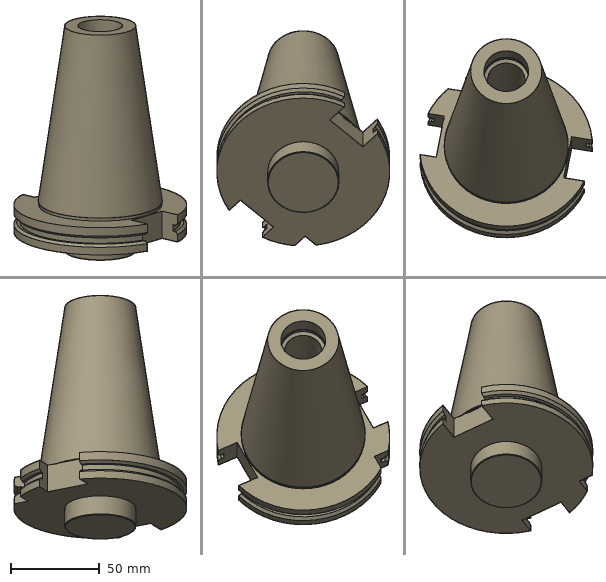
import cadquery as cq
import math

total_height = 131.6
flange_bottom = 11.2
flange_thickness = 15.9
flange_top = flange_bottom + flange_thickness
rim_thickness = 0.7
cone_base = 29.5

flange_diameter = 97.4
boss_diameter = 40.0
cone_top_diameter = 40.0
cone_base_diameter = 69.9
neck_diameter = 69.4
boss_chamfer = 0.4

groove_offset = 0.3
groove_height = flange_bottom + flange_thickness / 2 - groove_offset
groove_mouth_width = 6.5
groove_floor_width = 3.7
groove_floor_diameter = 90.7
flank_angle = 40.0

slot_width = 25.7
left_slot_x = -37.8
right_slot_x = 35.1
notch_x = -29.9
notch_y = 29.9

entry_diameter = 25.0
entry_depth = 9.3
relief_diameter = 25.4
relief_depth = 11.7
shoulder_drop = 0.7
core_diameter = 21.0
core_depth = 52.6
drill_point_angle = 118.0


def make_body():
    """Revolve the boss, grooved flange, neck and cone in one profile."""
    flange_radius = flange_diameter / 2
    boss_radius = boss_diameter / 2
    base_radius = cone_base_diameter / 2
    neck_radius = neck_diameter / 2
    floor_radius = groove_floor_diameter / 2
    flank_height = (groove_mouth_width - groove_floor_width) / 2
    flank_radius = flange_radius - flank_height / math.tan(math.radians(flank_angle))
    mouth_low = groove_height - groove_mouth_width / 2
    mouth_high = groove_height + groove_mouth_width / 2
    floor_low = groove_height - groove_floor_width / 2
    floor_high = groove_height + groove_floor_width / 2
    profile = [
        (0, 0),
        (boss_radius - boss_chamfer, 0),
        (boss_radius, boss_chamfer),
        (boss_radius, flange_bottom),
        (flange_radius, flange_bottom),
        (flange_radius, mouth_low),
        (flank_radius, floor_low),
        (floor_radius, floor_low),
        (floor_radius, floor_high),
        (flank_radius, floor_high),
        (flange_radius, mouth_high),
        (flange_radius, flange_top),
        (neck_radius, flange_top),
        (neck_radius, cone_base - rim_thickness),
        (base_radius, cone_base - rim_thickness),
        (base_radius, cone_base),
        (cone_top_diameter / 2, total_height),
        (0, total_height),
    ]
    return cq.Workplane("XZ").polyline(profile).close().revolve(360, (0, 0), (0, 1))


def make_bore():
    """Revolve the entry, relief, sloped shoulder, core hole and drill point."""
    core_radius = core_diameter / 2
    point_length = core_radius / math.tan(math.radians(drill_point_angle / 2))
    profile = [
        (0, total_height),
        (entry_diameter / 2, total_height),
        (entry_diameter / 2, total_height - entry_depth),
        (relief_diameter / 2, total_height - entry_depth),
        (relief_diameter / 2, total_height - relief_depth),
        (core_radius, total_height - relief_depth - shoulder_drop),
        (core_radius, total_height - core_depth),
        (0, total_height - core_depth - point_length),
    ]
    return cq.Workplane("XZ").polyline(profile).close().revolve(360, (0, 0), (0, 1))


def flange_cutter(x_inner, x_direction, y_low, y_high):
    """Block through the flange thickness, reaching outward in X past the rim."""
    return cq.Workplane("XY").box(
        flange_diameter, y_high - y_low, flange_thickness, centered=False
    ).translate((
        x_inner if x_direction > 0 else x_inner - flange_diameter,
        y_low,
        flange_bottom,
    ))


left_slot = flange_cutter(left_slot_x, -1, -slot_width / 2, slot_width / 2)
right_slot = flange_cutter(right_slot_x, 1, -slot_width / 2, slot_width / 2)
notch = flange_cutter(notch_x, -1, notch_y, flange_diameter / 2)

result = make_body().cut(make_bore()).cut(left_slot).cut(right_slot).cut(notch)